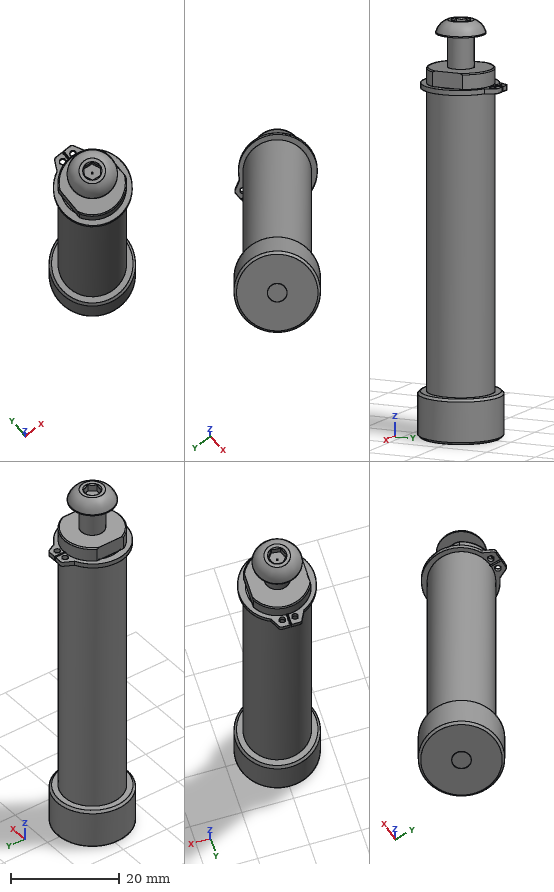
import cadquery as cq
import math

COLLAR_BOTTOM = 0.15
COLLAR_TOP = 8.75
RING_BOTTOM = 65.9
RING_THICKNESS = 0.95
SHAFT_TOP = 69.9
HEAD_BOTTOM = 76.25
OVERALL_TOP = 78.8

COLLAR_DIAMETER = 16.0
COLLAR_CHAMFER = 0.5
SHAFT_DIAMETER = 12.7
SHAFT_CHAMFER = 0.2
FLAT_WIDTH = 11.1
GROOVE_DIAMETER = 11.8

SCREW_DIAMETER = 5.0
SCREW_LENGTH = 16.0
HEAD_DIAMETER = 9.3
HEAD_TOP_DIAMETER = 4.9
HEAD_RIM_HEIGHT = 0.2
DOME_BULGE = 0.4
SOCKET_SIDES = 6
SOCKET_WIDTH = 3.0
SOCKET_DEPTH = 1.6
SOCKET_ANGLE = 22.5
SOCKET_RIM_DIAMETER = 3.55
SOCKET_RIM_ANGLE = 45
CENTRE_MARK_DIAMETER = 0.3
CENTRE_MARK_DEPTH = 0.15

RING_DIAMETER = 14.6
RING_OFFSET = -0.15
RING_GAP = 0.3
EAR_TOP = 8.6
EAR_BASE = 5.5
EAR_TOP_WIDTH = 4.1
EAR_BASE_WIDTH = 7.25
EAR_CORNER_RADIUS = 0.55
EAR_HOLE_DIAMETER = 1.2
EAR_HOLE_SPACING = 2.45
EAR_HOLE_Y = 7.2

PLUG_DIAMETER = 3.6
PLUG_LENGTH = 5.05


def cylinder(diameter, bottom, height):
    """Cylinder on the main axis, standing on the height `bottom`."""
    return cq.Workplane("XY").workplane(offset=bottom).circle(diameter / 2).extrude(height)


def make_shaft():
    """Collared shaft with a ring groove, two flats at its top and a hole in each end."""
    collar = cylinder(COLLAR_DIAMETER, COLLAR_BOTTOM, COLLAR_TOP - COLLAR_BOTTOM)
    collar = collar.edges("%CIRCLE").chamfer(COLLAR_CHAMFER)
    stem = cylinder(SHAFT_DIAMETER, COLLAR_BOTTOM, SHAFT_TOP - COLLAR_BOTTOM)
    stem = stem.faces(">Z").edges().chamfer(SHAFT_CHAMFER)

    groove = cylinder(SHAFT_DIAMETER, RING_BOTTOM, RING_THICKNESS)
    groove = groove.cut(cylinder(GROOVE_DIAMETER, RING_BOTTOM, RING_THICKNESS))
    stem = stem.cut(groove)

    flats_bottom = RING_BOTTOM + RING_THICKNESS
    flats_height = SHAFT_TOP - flats_bottom
    between_flats = (
        cq.Workplane("XY")
        .workplane(offset=flats_bottom)
        .rect(FLAT_WIDTH, SHAFT_DIAMETER)
        .extrude(flats_height)
    )
    stem = stem.cut(cylinder(SHAFT_DIAMETER, flats_bottom, flats_height).cut(between_flats))

    screw_hole = cylinder(SCREW_DIAMETER, HEAD_BOTTOM - SCREW_LENGTH, SCREW_LENGTH)
    plug_hole = cylinder(PLUG_DIAMETER, 0, PLUG_LENGTH)
    return collar.union(stem).cut(screw_hole).cut(plug_hole)


def make_screw():
    """Screw with a domed head and a hexagon socket."""
    rim_radius = HEAD_DIAMETER / 2
    top_radius = HEAD_TOP_DIAMETER / 2
    rim_top = HEAD_BOTTOM + HEAD_RIM_HEIGHT

    dome_height = OVERALL_TOP - rim_top
    dome_width = rim_radius - top_radius
    chord = math.hypot(dome_height, dome_width)
    dome_radius_mid = (rim_radius + top_radius) / 2 + DOME_BULGE * dome_height / chord
    dome_height_mid = (rim_top + OVERALL_TOP) / 2 + DOME_BULGE * dome_width / chord

    head = (
        cq.Workplane("XZ")
        .moveTo(0, HEAD_BOTTOM)
        .lineTo(rim_radius, HEAD_BOTTOM)
        .lineTo(rim_radius, rim_top)
        .threePointArc((dome_radius_mid, dome_height_mid), (top_radius, OVERALL_TOP))
        .lineTo(0, OVERALL_TOP)
        .close()
        .revolve(360, (0, 0, 0), (0, 1, 0))
    )
    socket_bottom = OVERALL_TOP - SOCKET_DEPTH
    socket = (
        cq.Workplane("XY")
        .workplane(offset=socket_bottom)
        .polygon(SOCKET_SIDES, SOCKET_WIDTH, circumscribed=True)
        .extrude(SOCKET_DEPTH)
        .rotate((0, 0, 0), (0, 0, 1), SOCKET_ANGLE)
    )
    rim_depth = (SOCKET_RIM_DIAMETER - SOCKET_WIDTH) / 2 / math.tan(math.radians(SOCKET_RIM_ANGLE))
    socket_rim = (
        cq.Workplane("XY")
        .workplane(offset=OVERALL_TOP)
        .circle(SOCKET_RIM_DIAMETER / 2)
        .extrude(-rim_depth, taper=SOCKET_RIM_ANGLE)
    )
    centre_mark = cylinder(CENTRE_MARK_DIAMETER, socket_bottom - CENTRE_MARK_DEPTH, CENTRE_MARK_DEPTH)
    shank = cylinder(SCREW_DIAMETER, HEAD_BOTTOM - SCREW_LENGTH, SCREW_LENGTH)
    return head.union(shank).cut(socket).cut(socket_rim).cut(centre_mark)


def make_ring():
    """Eccentric retaining ring, split on the +Y side between two drilled ears."""
    plane = cq.Workplane("XY").workplane(offset=RING_BOTTOM)
    band = plane.center(0, RING_OFFSET).circle(RING_DIAMETER / 2).extrude(RING_THICKNESS)
    ears = (
        plane.moveTo(-EAR_BASE_WIDTH / 2, EAR_BASE)
        .lineTo(EAR_BASE_WIDTH / 2, EAR_BASE)
        .lineTo(EAR_TOP_WIDTH / 2, EAR_TOP)
        .lineTo(-EAR_TOP_WIDTH / 2, EAR_TOP)
        .close()
        .extrude(RING_THICKNESS)
        .edges("|Z and >Y")
        .fillet(EAR_CORNER_RADIUS)
    )
    bore = cylinder(GROOVE_DIAMETER, RING_BOTTOM, RING_THICKNESS)
    gap = plane.center(0, EAR_TOP / 2).rect(RING_GAP, EAR_TOP).extrude(RING_THICKNESS)
    ear_holes = (
        plane.pushPoints([(side * EAR_HOLE_SPACING / 2, EAR_HOLE_Y) for side in (-1, 1)])
        .circle(EAR_HOLE_DIAMETER / 2)
        .extrude(RING_THICKNESS)
    )
    return band.union(ears).cut(bore).cut(gap).cut(ear_holes)


def make_plug():
    """Round plug standing slightly proud of the collar's lower face."""
    return cylinder(PLUG_DIAMETER, 0, PLUG_LENGTH)


shaft = make_shaft()
screw = make_screw()
ring = make_ring()
plug = make_plug()

result = cq.Compound.makeCompound([shaft.val(), screw.val(), ring.val(), plug.val()])